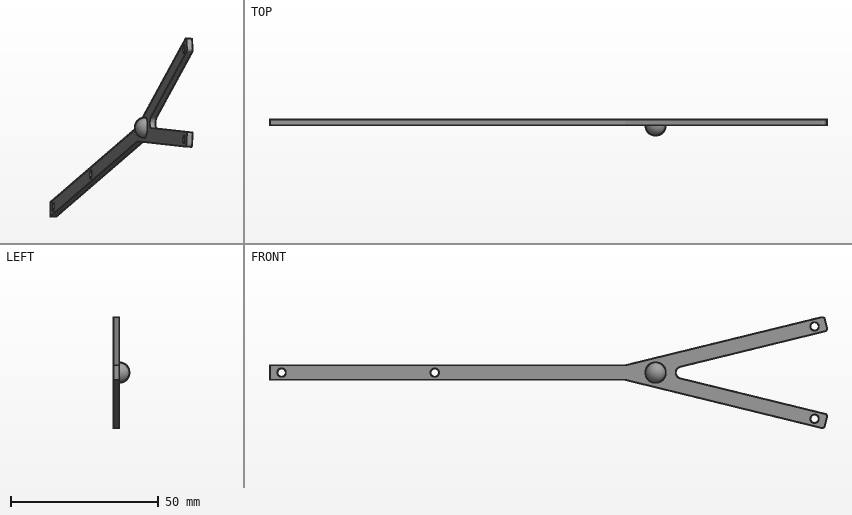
import cadquery as cq
import math

overall_length = 189.27
overall_height = 37.72
thickness = 2.0

stem_width = 5.0
arm_width = 5.0
arm_angle = math.radians(13.77)
crotch_radius = 2.0
tip_corner_radius = 1.0

hole_diameter = 2.8
hole_end_distance = 4.0
stem_hole_spacing = 52.0

knob_radius = 3.5
knob_x = 131.0

along_x = math.cos(arm_angle)
along_z = math.sin(arm_angle)
corner_setback = tip_corner_radius * (along_x + along_z - 1)
inner_tip_x = overall_length + corner_setback
outer_tip_x = inner_tip_x - arm_width * along_z
outer_tip_z = overall_height / 2 + corner_setback
inner_tip_z = outer_tip_z - arm_width * along_x
fork_x = outer_tip_x - (outer_tip_z - stem_width / 2) / math.tan(arm_angle)
crotch_x = inner_tip_x - inner_tip_z / math.tan(arm_angle)
arm_hole_x = (outer_tip_x + inner_tip_x) / 2 - hole_end_distance * along_x
arm_hole_z = (outer_tip_z + inner_tip_z) / 2 - hole_end_distance * along_z


def make_plate():
    """Y-shaped plate between y = 0 and y = thickness, with the crotch and arm tips rounded."""
    outline = [
        (0, -stem_width / 2),
        (fork_x, -stem_width / 2),
        (outer_tip_x, -outer_tip_z),
        (inner_tip_x, -inner_tip_z),
        (crotch_x, 0),
        (inner_tip_x, inner_tip_z),
        (outer_tip_x, outer_tip_z),
        (fork_x, stem_width / 2),
        (0, stem_width / 2),
    ]
    plate = cq.Workplane("XZ").polyline(outline).close().extrude(-thickness)
    crotch_edge = cq.selectors.NearestToPointSelector((crotch_x, thickness / 2, 0))
    plate = plate.edges("|Y").edges(crotch_edge).fillet(crotch_radius)
    tip_edges = cq.selectors.BoxSelector(
        (arm_hole_x, 0, -outer_tip_z - arm_width),
        (inner_tip_x + arm_width, thickness, outer_tip_z + arm_width),
    )
    return plate.edges("|Y").edges(tip_edges).fillet(tip_corner_radius)


def make_holes():
    """Through holes: two along the stem and one near the end of each arm."""
    centers = [
        (hole_end_distance, 0),
        (hole_end_distance + stem_hole_spacing, 0),
        (arm_hole_x, arm_hole_z),
        (arm_hole_x, -arm_hole_z),
    ]
    return cq.Workplane("XZ").pushPoints(centers).circle(hole_diameter / 2).extrude(-thickness)


def make_knob():
    """Half ball whose flat side lies on the -Y face of the plate."""
    ball = cq.Workplane("XZ", origin=(knob_x, 0, 0)).sphere(knob_radius)
    knob_diameter = 2 * knob_radius
    front_block = (
        cq.Workplane("XZ", origin=(knob_x, 0, 0))
        .rect(knob_diameter, knob_diameter)
        .extrude(knob_radius)
    )
    return ball.intersect(front_block)


result = make_plate().cut(make_holes()).union(make_knob())